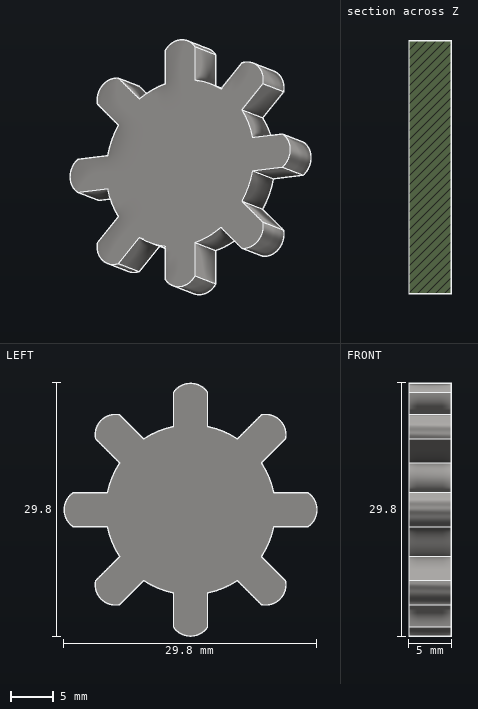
import cadquery as cq

thickness = 5.0
outer_diameter = 29.8
hub_radius = 10.0
tooth_count = 8
tooth_width = 4.02
tip_rise = 1.07

tip_radius = outer_diameter / 2
shoulder_radius = tip_radius - tip_rise
half_width = tooth_width / 2


def make_hub():
    """Round disc lying in the YZ plane, centred on the X axis."""
    return cq.Workplane("YZ").circle(hub_radius).extrude(thickness / 2, both=True)


def make_tooth(angle):
    """Straight-sided tooth with an arc tip, turned about the X axis."""
    tooth = (
        cq.Workplane("YZ")
        .moveTo(0, -half_width)
        .lineTo(shoulder_radius, -half_width)
        .threePointArc((tip_radius, 0), (shoulder_radius, half_width))
        .lineTo(0, half_width)
        .close()
        .extrude(thickness / 2, both=True)
    )
    return tooth.rotate((0, 0, 0), (1, 0, 0), angle)


result = make_hub()
for index in range(tooth_count):
    result = result.union(make_tooth(index * 360 / tooth_count))